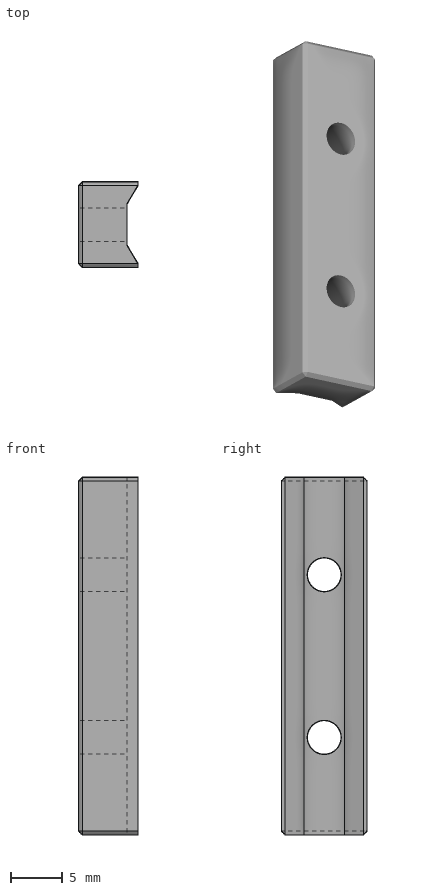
import cadquery as cq

thickness = 5.81
width = 8.38
length = 34.92
chamfer = 0.38

channel_depth = 1.07
channel_floor_width = 4.0
channel_mouth_width = width - 2 * chamfer

hole_diameter = 3.28
hole_spacing = 15.875


def chamfered_bar():
    """Block chamfered around the -X face and along its four X edges; the +X rim stays sharp."""
    bar = cq.Workplane("XY").box(thickness, width, length)
    return bar.edges("<X or |X").chamfer(chamfer)


def channel():
    """Trapezoidal prism, widest at the +X face."""
    mouth_x = thickness / 2
    floor_x = mouth_x - channel_depth
    half_mouth = channel_mouth_width / 2
    half_floor = channel_floor_width / 2
    profile = [
        (mouth_x, -half_mouth),
        (floor_x, -half_floor),
        (floor_x, half_floor),
        (mouth_x, half_mouth),
    ]
    return cq.Workplane("XY").polyline(profile).close().extrude(length / 2, both=True)


def cross_holes():
    """Plain cylinders along X on the bar's centreline."""
    centres = [(0, -hole_spacing / 2), (0, hole_spacing / 2)]
    return (
        cq.Workplane("YZ")
        .pushPoints(centres)
        .circle(hole_diameter / 2)
        .extrude(thickness / 2, both=True)
    )


result = chamfered_bar().cut(channel()).cut(cross_holes())